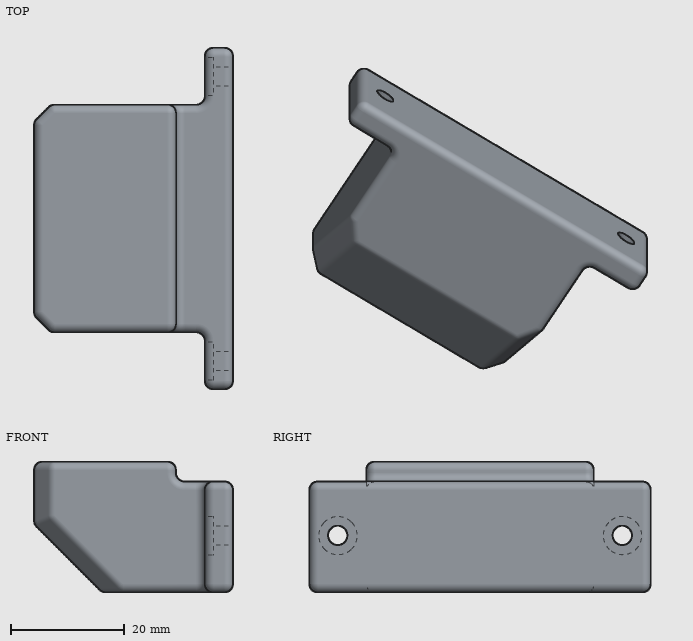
import cadquery as cq

depth = 35.0
flange_length = 60.0
height = 23.0

flange_thickness = 5.0
flange_height = 19.5

housing_width = 40.0
ledge_depth = 10.0
slope_leg = 12.0
corner_chamfer = 3.0
edge_radius = 1.5

hole_spacing = 50.0
hole_height = 10.0
hole_diameter = 3.35
counterbore_diameter = 6.7
counterbore_depth = 1.5

flange_front = depth - flange_thickness
step_x = depth - ledge_depth


def make_housing():
    """Stepped side profile with a sloped underside and beveled nose corners."""
    half_width = housing_width / 2
    housing = (
        cq.Workplane("XZ")
        .moveTo(slope_leg, 0)
        .lineTo(depth, 0)
        .lineTo(depth, flange_height)
        .lineTo(step_x, flange_height)
        .lineTo(step_x, height)
        .lineTo(0, height)
        .lineTo(0, slope_leg)
        .close()
        .extrude(half_width, both=True)
    )
    beveled_edges = housing.edges("|Z and <X")
    slope_middle = slope_leg / 2
    for y in (-half_width, half_width):
        slope_edge = cq.NearestToPointSelector((slope_middle, y, slope_middle))
        beveled_edges = beveled_edges.add(housing.edges(slope_edge))
    return beveled_edges.chamfer(corner_chamfer)


def make_flange():
    """Plain plate along the mounting face, its ends standing out past the housing."""
    return (
        cq.Workplane("XY", origin=(flange_front, 0, 0))
        .box(flange_thickness, flange_length, flange_height, centered=(False, True, False))
    )


def make_screw_cylinders(diameter, length):
    """A pair of cylinders running from the flange front along +X."""
    return (
        cq.Workplane("YZ", origin=(flange_front, 0, hole_height))
        .pushPoints([(-hole_spacing / 2, 0), (hole_spacing / 2, 0)])
        .circle(diameter / 2)
        .extrude(length)
    )


body = make_housing().union(make_flange())
body = body.edges().fillet(edge_radius)

body = body.cut(make_screw_cylinders(hole_diameter, flange_thickness))
result = body.cut(make_screw_cylinders(counterbore_diameter, counterbore_depth))